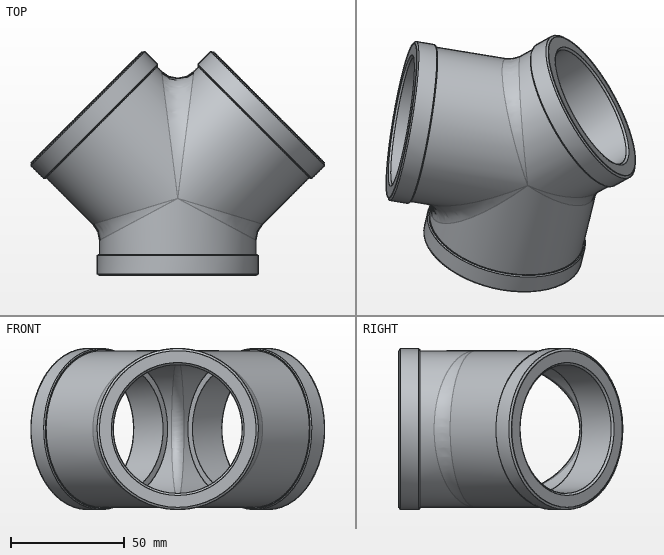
import cadquery as cq
import math

pipe_diameter = 69.0
collar_diameter = 71.0
cavity_diameter = 62.4
socket_diameter = 56.7
collar_length = 9.3
socket_depth = 19.3
stem_length = 34.0
overall_width = 129.4
branch_angle = 45
rim_chamfer_width = 1.4
rim_chamfer_height = 0.8
socket_chamfer = 0.9
collar_back_chamfer = 0.5
outer_blend_radius = 10.0
inner_blend_radius = 3.9

pipe_radius = pipe_diameter / 2
collar_radius = collar_diameter / 2
cavity_radius = cavity_diameter / 2
socket_radius = socket_diameter / 2

rim_reach = overall_width / 2 / math.cos(math.radians(branch_angle))
branch_length = rim_reach - collar_radius * math.tan(math.radians(branch_angle)) + rim_chamfer_height


def revolve_leg(profile, angle):
    """Revolve a (radius, height) profile and lay its axis in the XY plane."""
    leg = cq.Workplane("XZ").polyline(profile).close().revolve(360, (0, 0), (0, 1))
    return leg.rotate((0, 0, 0), (0, 1, 0), 90).rotate((0, 0, 0), (0, 0, 1), angle)


def pipe(length, angle):
    return revolve_leg([(0, 0), (pipe_radius, 0), (pipe_radius, length), (0, length)], angle)


def cavity(length, angle):
    end = length - socket_depth
    return revolve_leg([(0, 0), (cavity_radius, 0), (cavity_radius, end), (0, end)], angle)


def collar(length, angle):
    """Ring around the pipe end, chamfered at both ends."""
    back = length - collar_length
    return revolve_leg([
        (socket_radius, back),
        (collar_radius - collar_back_chamfer, back),
        (collar_radius, back + collar_back_chamfer),
        (collar_radius, length - rim_chamfer_height),
        (collar_radius - rim_chamfer_width, length),
        (socket_radius, length),
    ], angle)


def socket_cutter(length, angle):
    """Narrow bore from the cavity step to a chamfered mouth."""
    step = length - socket_depth
    return revolve_leg([
        (0, step),
        (socket_radius, step),
        (socket_radius, length - socket_chamfer),
        (socket_radius + socket_chamfer, length),
        (0, length),
    ], angle)


legs = [
    (stem_length, -90),
    (branch_length, branch_angle),
    (branch_length, 180 - branch_angle),
]


def join(make_part):
    """Union of one kind of part made for every leg."""
    body = make_part(*legs[0])
    for length, angle in legs[1:]:
        body = body.union(make_part(length, angle))
    return body


outer = join(pipe).edges("%ELLIPSE").fillet(outer_blend_radius)

stem_step = stem_length - socket_depth
cavity_bound = cq.Workplane("XY").box(
    2 * branch_length, 2 * branch_length, collar_diameter, centered=(True, False, True)
).translate((0, -stem_step, 0))
inner = join(cavity).intersect(cavity_bound).edges("%ELLIPSE").fillet(inner_blend_radius)

result = outer.union(join(collar)).cut(inner).cut(join(socket_cutter))